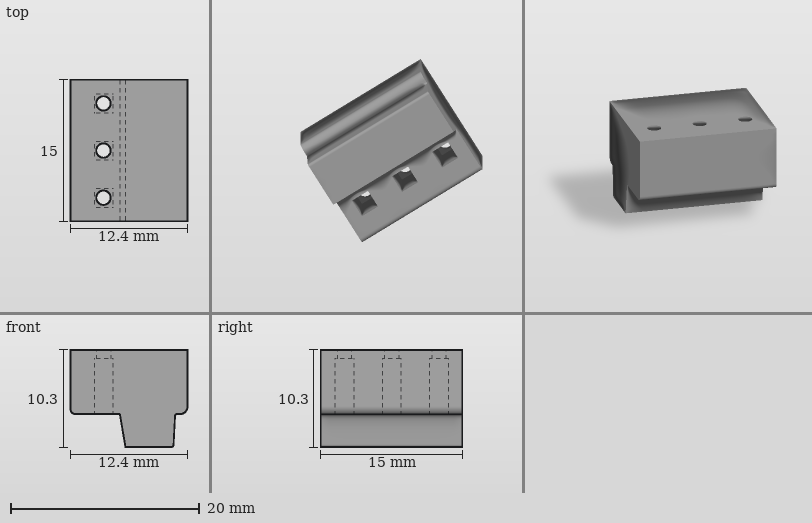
import cadquery as cq

body_width = 12.4
length = 15.0
body_height = 6.81
left_edge_radius = 0.52
right_edge_radius = 0.8

tongue_height = 3.5
tongue_root_left = 5.22
tongue_root_right = 11.1
tongue_tip_left = 5.82
tongue_tip_right = 10.92
tongue_root_fillet = 0.2
tongue_tip_fillet = 0.3

hole_count = 3
hole_diameter = 1.5
hole_pitch = 5.0
hole_x = 3.5
web_thickness = 0.87
pocket_side = 2.0

body_bottom = tongue_height
top = tongue_height + body_height


def edge_at(solid, x, z):
    """Select the lengthwise edge passing through (x, z)."""
    tolerance = 0.008
    box = cq.selectors.BoxSelector(
        (x - tolerance, -length, z - tolerance),
        (x + tolerance, length, z + tolerance),
    )
    return solid.edges("|Y").edges(box)


def make_block():
    """Extrude the end profile along Y and round its lengthwise edges."""
    block = (
        cq.Workplane("XZ")
        .moveTo(0, top)
        .lineTo(body_width, top)
        .lineTo(body_width, body_bottom)
        .lineTo(tongue_root_right, body_bottom)
        .lineTo(tongue_tip_right, 0)
        .lineTo(tongue_tip_left, 0)
        .lineTo(tongue_root_left, body_bottom)
        .lineTo(0, body_bottom)
        .close()
        .extrude(length / 2, both=True)
    )
    rounded_edges = [
        (0, body_bottom, left_edge_radius),
        (body_width, body_bottom, right_edge_radius),
        (tongue_root_right, body_bottom, tongue_root_fillet),
        (tongue_tip_right, 0, tongue_tip_fillet),
    ]
    for x, z, radius in rounded_edges:
        block = edge_at(block, x, z).fillet(radius)
    return block


def make_hole(y):
    """Cutter for one hole with its square pocket open at the body underside."""
    hole = (
        cq.Workplane("XY", origin=(hole_x, y, body_bottom))
        .circle(hole_diameter / 2)
        .extrude(body_height)
    )
    pocket = (
        cq.Workplane("XY", origin=(hole_x, y, body_bottom))
        .rect(pocket_side, pocket_side)
        .extrude(body_height - web_thickness)
    )
    return hole.union(pocket)


result = make_block()
for index in range(hole_count):
    hole_y = (index - (hole_count - 1) / 2) * hole_pitch
    result = result.cut(make_hole(hole_y))